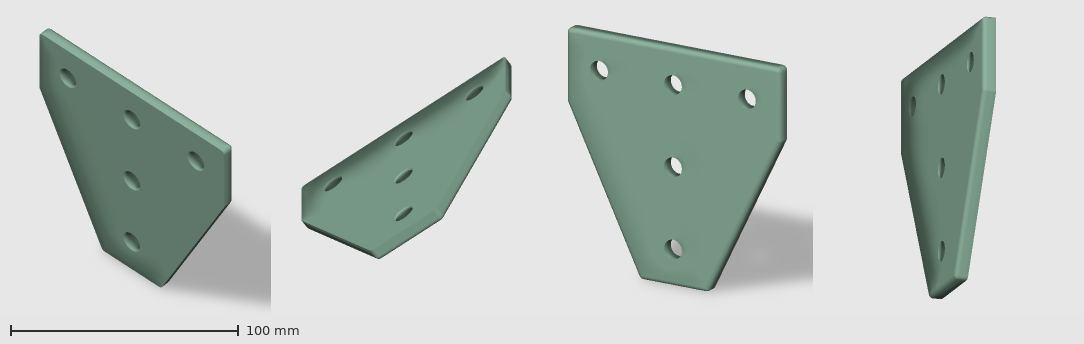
import cadquery as cq

size = 110.0
thickness = 6.0
foot_width = 34.9
side_height = 34.0
corner_radius = 2.0
rear_edge_radius = 2.0

hole_diameter = 9.0
hole_chamfer = 0.5
hole_pitch = 38.1
edge_to_hole = (size - 2 * hole_pitch) / 2

half = size / 2
shoulder_z = half - side_height
top_row_z = half - edge_to_hole


def plate():
    """Tapered T-plate, front face at y = 0 and rounded rear rim at y = thickness."""
    outline = [
        (-half, half),
        (half, half),
        (half, shoulder_z),
        (foot_width / 2, -half),
        (-foot_width / 2, -half),
        (-half, shoulder_z),
    ]
    body = cq.Workplane("XZ").polyline(outline).close().extrude(-thickness)
    body = body.edges("|Y").fillet(corner_radius)
    return body.faces(">Y").edges().fillet(rear_edge_radius)


def hole_cutter(x, z):
    """Through hole with a small chamfer at the front face."""
    radius = hole_diameter / 2
    bore = cq.Workplane("XZ", origin=(x, 0, z)).circle(radius).extrude(-thickness)
    mouth = (
        cq.Workplane("XZ", origin=(x, 0, z))
        .circle(radius + hole_chamfer)
        .workplane(offset=-hole_chamfer)
        .circle(radius)
        .loft()
    )
    return bore.union(mouth)


top_row = [(column * hole_pitch, top_row_z) for column in (-1, 0, 1)]
stem = [(0, top_row_z - row * hole_pitch) for row in (1, 2)]

result = plate()
for hole_x, hole_z in top_row + stem:
    result = result.cut(hole_cutter(hole_x, hole_z))